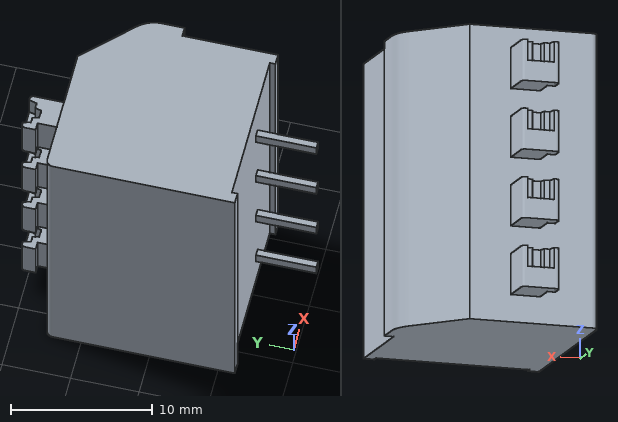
import cadquery as cq


housing_height = 21.5
housing_width = 13.75
wall_right = 13.07
housing_back = 13.8
lip_y = 6.99
slope_start_x = 9.6
slope_end_y = housing_back - (housing_width - slope_start_x)
slope_radius = 2.5
corner_radius = 0.5
foot_width = 0.82
foot_height = 0.4

pole_count = 4
pole_pitch = 5.0

pin_tip_y = -4.0
pin_left = 8.06
pin_thickness = 0.52
pin_height = 0.8
first_pin_z = 2.85

lever_back = 16.5
lever_left = 3.76
lever_right = 6.54
stem_left = 4.35
head_length = 1.05
head_radius = 0.25
lever_height = 2.99
first_lever_z = 3.48

recess_half_mouth = 0.99
recess_half_shelf = 0.84
recess_half_neck = 0.43
recess_half_floor = 0.3
recess_shelf_depth = 0.58
recess_full_depth = 1.05
recess_height = lever_height / 2


def make_housing():
    outline = [
        (0, 0),
        (foot_width, 0),
        (foot_width, foot_height),
        (wall_right - foot_width, foot_height),
        (wall_right - foot_width, 0),
        (wall_right, 0),
        (wall_right, lip_y),
        (housing_width, lip_y),
        (housing_width, slope_end_y),
        (slope_start_x, housing_back),
        (0, housing_back),
    ]
    housing = cq.Workplane("XY").polyline(outline).close().extrude(housing_height)
    slope_corner = cq.selectors.NearestToPointSelector((housing_width, slope_end_y, housing_height / 2))
    left_corner = cq.selectors.NearestToPointSelector((0, housing_back, housing_height / 2))
    housing = housing.edges(slope_corner).fillet(slope_radius)
    return housing.edges(left_corner).fillet(corner_radius)


def make_pin(center_z):
    length = foot_height - pin_tip_y
    pin = cq.Workplane("XY").box(pin_thickness, length, pin_height, centered=(False, False, True))
    return pin.translate((pin_left, pin_tip_y, center_z))


def make_lever(center_z):
    outline = [
        (stem_left, housing_back),
        (lever_right, housing_back),
        (lever_right, lever_back),
        (lever_left, lever_back),
        (lever_left, lever_back - head_length),
        (stem_left, lever_back - head_length),
    ]
    lever = cq.Workplane("XY").polyline(outline).close().extrude(lever_height)
    lever = lever.faces(">Y").edges("|Z").fillet(head_radius)

    center_x = (lever_left + lever_right) / 2
    shelf_y = lever_back - recess_shelf_depth
    floor_y = lever_back - recess_full_depth
    half_outline = [
        (recess_half_mouth, lever_back),
        (recess_half_shelf, shelf_y),
        (recess_half_neck, shelf_y),
        (recess_half_floor, floor_y),
    ]
    left_side = [(center_x - offset, y) for offset, y in half_outline]
    right_side = [(center_x + offset, y) for offset, y in reversed(half_outline)]
    recess = (
        cq.Workplane("XY", origin=(0, 0, lever_height - recess_height))
        .polyline(left_side + right_side)
        .close()
        .extrude(recess_height)
    )
    return lever.cut(recess).translate((0, 0, center_z - lever_height / 2))


result = make_housing()
for pole in range(pole_count):
    pole_z = pole * pole_pitch
    result = result.union(make_pin(first_pin_z + pole_z))
    result = result.union(make_lever(first_lever_z + pole_z))